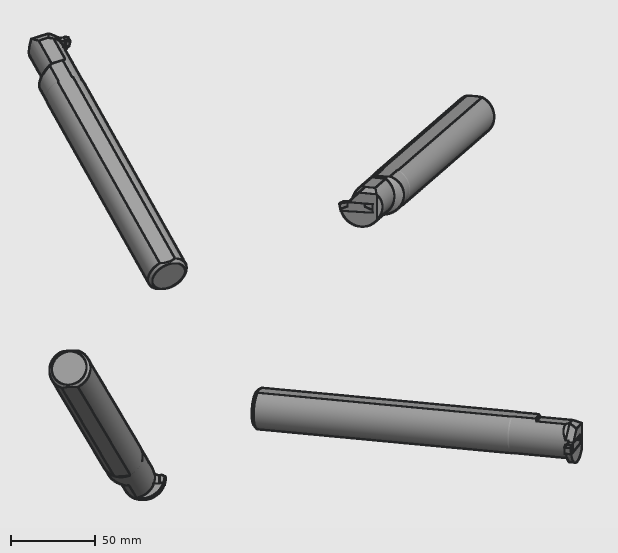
import cadquery as cq


bar_length = 200.0
overall_width = 31.0
shank_radius = 12.5
flat_height = 11.5
neck_radius = 12.3
neck_end = 40.0
shoulder_length = 0.8
end_chamfer = 2.0

head_radius = 12.9
head_center_y = 5.1
head_flat_height = 10.5
head_end = 24.8
blade_thickness = 3.2

nose_bevel_length = 5.0
nose_top_height = 8.2
nose_side_y = -5.3
slope_top = (6.5, 7.8)
slope_bottom = (12.8, 1.5)
slope_wall_lean = 1.0

insert_back_y = -2.5
insert_back_top = 1.8
insert_back_bottom = -3.5
insert_tip_y = overall_width - shank_radius
insert_tip_bottom = (17.5, -4.2)
land_width = 0.8
chip_groove_radius = 1.5
chip_groove_end = (15.7, 0.8)
tip_width = 4.0
tip_start_y = 14.8
tip_taper = 0.8
relief_depth = 0.1
tip_relief = [(13.2, 4.0), (13.2, -1.0), (17.5, -3.0), (20.0, -3.0), (20.0, 4.0)]
back_relief = [(2.8, 4.0), (2.5, -0.2), (-1.0, -1.5), (-4.0, -2.0), (-4.0, 4.0)]

margin = 40.0


def rod(radius, start, end, center_y=0.0):
    """Cylinder along X."""
    return cq.Workplane("YZ", origin=(start, center_y, 0)).circle(radius).extrude(end - start)


def side_prism(points, start, end):
    """Prism along X with a Y-Z outline."""
    return cq.Workplane("YZ", origin=(start, 0, 0)).polyline(points).close().extrude(end - start)


def cone(start, start_radius, end_radius, length, center_y=0.0):
    """Truncated cone along X."""
    return cq.Workplane(
        cq.Solid.makeCone(
            start_radius, end_radius, length, cq.Vector(start, center_y, 0), cq.Vector(1, 0, 0)
        )
    )


def make_shank():
    shank = rod(shank_radius, neck_end + shoulder_length, bar_length)
    shank = shank.faces(">X").chamfer(end_chamfer)
    shank = shank.union(cone(neck_end, neck_radius, shank_radius, shoulder_length))
    flats = cq.Workplane("XY").box(2 * bar_length, margin, 2 * flat_height)
    return shank.intersect(flats)


def make_neck_and_head():
    """Round neck trimmed to the offset head, with a 45 degree flare between them."""
    flare_length = neck_end - head_end
    envelope = rod(head_radius, 0, head_end, head_center_y).union(
        cone(head_end, head_radius, head_radius + flare_length, flare_length, head_center_y)
    )
    body = rod(neck_radius, 0, neck_end).intersect(envelope)
    body = body.union(rod(head_radius, 0, blade_thickness, head_center_y))

    flat_rise = flat_height - head_flat_height
    top_limit = (
        cq.Workplane("XZ", origin=(0, margin, 0))
        .moveTo(0, -margin)
        .lineTo(0, nose_top_height)
        .lineTo(nose_bevel_length, head_flat_height)
        .lineTo(head_end, head_flat_height)
        .lineTo(head_end + flat_rise, flat_height)
        .lineTo(neck_end, flat_height)
        .lineTo(neck_end, -margin)
        .close()
        .extrude(2 * margin)
    )
    return body.intersect(top_limit)


def make_side_bevel():
    """45 degree bevel on the -Y side of the nose."""
    return (
        cq.Workplane("XY", origin=(0, 0, -margin))
        .polyline([(0, nose_side_y), (margin, nose_side_y - margin), (0, nose_side_y - margin)])
        .close()
        .extrude(2 * margin)
    )


def make_chip_slope():
    """Clearance above the insert: a sloping floor with a leaning back wall."""
    run = slope_bottom[0] - slope_top[0]
    drop = slope_top[1] - slope_bottom[1]
    section = cq.Plane(origin=(0, *slope_top), xDir=(1, 0, 0), normal=(0, -run, drop))
    clearance = 2 * head_radius
    return (
        cq.Workplane(section)
        .polyline([
            (0, 0),
            (nose_bevel_length, 0),
            (nose_bevel_length + slope_wall_lean * clearance, clearance),
            (0, clearance),
        ])
        .close()
        .extrude(clearance, both=True)
    )


def make_insert():
    land_start = (insert_tip_y - land_width, 0)
    blank = (
        cq.Workplane("YZ")
        .moveTo(insert_back_y, insert_back_bottom)
        .lineTo(*insert_tip_bottom)
        .lineTo(insert_tip_y, 0)
        .lineTo(*land_start)
        .radiusArc(chip_groove_end, -chip_groove_radius)
        .lineTo(*slope_bottom)
        .lineTo(insert_back_y, insert_back_top)
        .close()
        .extrude(tip_width)
    )
    plan = (
        cq.Workplane("XY", origin=(0, 0, -margin))
        .polyline([
            (0, insert_back_y),
            (blade_thickness, insert_back_y),
            (blade_thickness, tip_start_y),
            (tip_width, tip_start_y + tip_taper),
            (tip_width, insert_tip_y),
            (0, insert_tip_y),
        ])
        .close()
        .extrude(2 * margin)
    )
    return blank.intersect(plan)


def make_insert_pocket():
    """Slot for the insert, open to the nose and toward +Y."""
    return side_prism(
        [
            (insert_back_y, insert_back_bottom),
            insert_tip_bottom,
            (insert_tip_y, insert_tip_bottom[1]),
            (insert_tip_y, slope_bottom[1]),
            slope_bottom,
            (insert_back_y, insert_back_top),
        ],
        0,
        blade_thickness,
    )


def make_relief(outline):
    """Shallow relief in the nose face of the insert."""
    return side_prism(outline, 0, relief_depth)


holder = (
    make_shank()
    .union(make_neck_and_head())
    .cut(make_side_bevel())
    .cut(make_chip_slope())
    .cut(make_insert_pocket())
)
insert = make_insert()
for outline in (tip_relief, back_relief):
    insert = insert.cut(make_relief(outline))

result = cq.Compound.makeCompound([holder.val(), insert.val()])